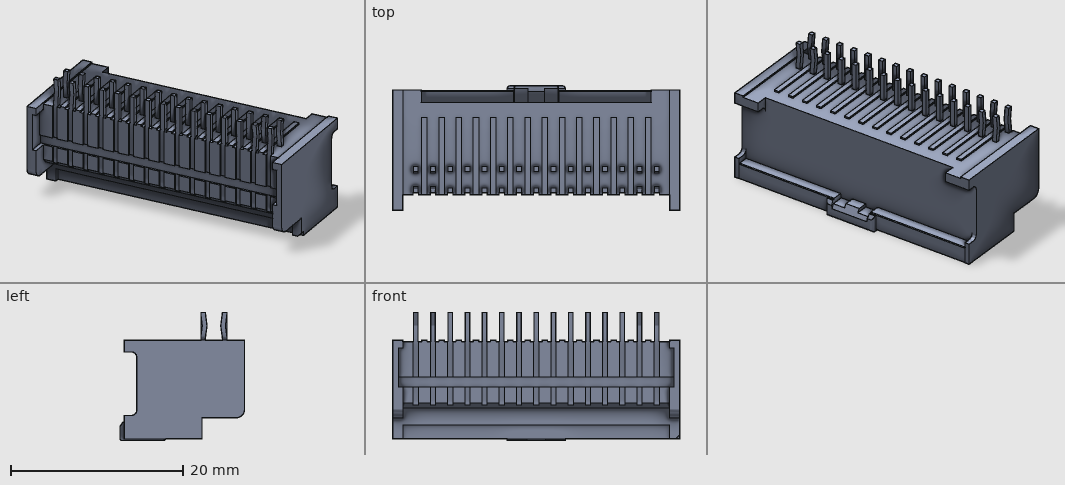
import cadquery as cq


TOTAL_LENGTH = 33.4
FLANGE_THICKNESS = 1.2
FLANGE_DEPTH = 14.0
FLANGE_HEIGHT = 11.5
FLANGE_CORNER_RADIUS = 1.0
FOOT_FRONT_Y = 4.95
FOOT_HEIGHT = 2.45

PIN_COUNT = 15
PITCH = 2.0
PIN_WIDTH = 0.55
PIN_TOP_Z = 14.7
PIN_ROOT_Z = 9.0
ROW_SPACING = 2.5

BODY_TOP_Z = 11.3
BODY_FRONT_Y = 1.8
BODY_FRONT_BOTTOM_Z = 3.6
FRONT_CHAMFER = 0.57
UNDERCUT_DEPTH = 0.55
UNDERCUT_HEIGHT = 1.6

BACK_RECESS_DEPTH = 1.45
BACK_RECESS_BOTTOM_Z = 2.75
BACK_RECESS_TOP_Z = 10.1
BACK_RECESS_RADIUS = 0.6
LIP_GAP_LENGTH = 26.7
SHELF_LENGTH = 32.2
SHELF_TOP_Z = 2.05
SHELF_SETBACK = 0.05
SHELF_CHAMFER = 0.1

GROOVE_WIDTH = 0.6
GROOVE_DEPTH = 0.25
CROSS_GROOVE_DEPTH = 0.28
CROSS_GROOVE_BOTTOM_Z = 6.05
CROSS_GROOVE_TOP_Z = 7.2
CROSS_GROOVE_LENGTH = 32.0
FLANGE_POCKET_TOP_Z = 10.6

RIB_WIDTH = 0.65
RIB_BACK_Y = 10.8

BENT_PINS_PER_END = 2
BEND_OFFSET = 0.19
BEND_START_Z = 11.7
BEND_KNEE_Z = 13.15

LUG_WIDTH = 6.8
LUG_OVERHANG = 0.5
LUG_DROP = 0.1
LUG_SLOPE_HEIGHT = 0.5
LUG_SLOPE_DEPTH = 0.35
LUG_CORNER = 0.4
LUG_PAD_THICKNESS = 0.2
LUG_FRONT_Y = 9.15
LUG_RAMP_LENGTH = 0.2
LUG_NOTCH_WIDTH = 2.1
TROUGH_FLOOR_Z = 1.5
TROUGH_FLOOR_WIDTH = 4.9
TROUGH_TOP_WIDTH = 5.25
RIDGE_WIDTH = 1.9
RIDGE_BACK_Y = 13.85

CORNER_MARK = 0.5

HALF_LENGTH = TOTAL_LENGTH / 2
BODY_LENGTH = TOTAL_LENGTH - 2 * FLANGE_THICKNESS
BACK_WALL_Y = FLANGE_DEPTH - BACK_RECESS_DEPTH
GROOVE_FLOOR_Y = BODY_FRONT_Y + GROOVE_DEPTH
FRONT_ROW_Y = GROOVE_FLOOR_Y + PIN_WIDTH / 2
REAR_ROW_Y = FRONT_ROW_Y + ROW_SPACING
LUG_BACK_Y = FLANGE_DEPTH + LUG_OVERHANG
LUG_TOP_Z = SHELF_TOP_Z - LUG_DROP
LUG_SLOPE_Y = LUG_BACK_Y - LUG_SLOPE_DEPTH
TROUGH_SLOPE_BOTTOM_Z = TROUGH_FLOOR_Z - LUG_SLOPE_HEIGHT
PIN_XS = [(i - (PIN_COUNT - 1) / 2) * PITCH for i in range(PIN_COUNT)]


def box(x_range, y_range, z_range):
    """Axis-aligned block between the given limits."""
    size = [r[1] - r[0] for r in (x_range, y_range, z_range)]
    corner = (x_range[0], y_range[0], z_range[0])
    return cq.Workplane("XY").box(*size, centered=False).translate(corner)


def centred_box(width, y_range, z_range):
    """Block centred on X = 0."""
    return box((-width / 2, width / 2), y_range, z_range)


def side_prism(points, width, centre_x=0):
    """Closed (Y, Z) outline extruded along X, centred on centre_x."""
    outline = cq.Workplane("YZ").polyline(points).close()
    return outline.extrude(width / 2, both=True).translate((centre_x, 0, 0))


def make_flange_block():
    """Full-length block with the side outline of the end flanges."""
    block = side_prism(
        [
            (0, FOOT_HEIGHT),
            (FOOT_FRONT_Y, FOOT_HEIGHT),
            (FOOT_FRONT_Y, 0),
            (FLANGE_DEPTH, 0),
            (FLANGE_DEPTH, FLANGE_HEIGHT),
            (0, FLANGE_HEIGHT),
        ],
        TOTAL_LENGTH,
    )
    front_corner = cq.selectors.NearestToPointSelector((0, 0, FOOT_HEIGHT))
    block = block.edges(front_corner).fillet(FLANGE_CORNER_RADIUS)
    recess = centred_box(
        TOTAL_LENGTH,
        (BACK_WALL_Y, FLANGE_DEPTH + BACK_RECESS_DEPTH),
        (BACK_RECESS_BOTTOM_Z, BACK_RECESS_TOP_Z),
    )
    recess = recess.edges("|X and <Y").fillet(BACK_RECESS_RADIUS)
    return block.cut(recess)


def make_front_relief():
    """Material removed between the flanges in front of and under the body."""
    undercut_y = FOOT_FRONT_Y + UNDERCUT_DEPTH
    chamfer_y = BODY_FRONT_Y + FRONT_CHAMFER
    chamfer_z = BODY_FRONT_BOTTOM_Z + FRONT_CHAMFER
    return side_prism(
        [
            (0, 0),
            (undercut_y, 0),
            (undercut_y, UNDERCUT_HEIGHT),
            (FOOT_FRONT_Y, UNDERCUT_HEIGHT),
            (FOOT_FRONT_Y, BODY_FRONT_BOTTOM_Z),
            (chamfer_y, BODY_FRONT_BOTTOM_Z),
            (BODY_FRONT_Y, chamfer_z),
            (BODY_FRONT_Y, FLANGE_HEIGHT),
            (0, FLANGE_HEIGHT),
        ],
        BODY_LENGTH,
    )


def make_housing():
    """Housing with lowered top, open back edge and front relief."""
    housing = make_flange_block().cut(make_front_relief())
    top_relief = centred_box(BODY_LENGTH, (0, FLANGE_DEPTH), (BODY_TOP_Z, FLANGE_HEIGHT))
    lip_gap = centred_box(
        LIP_GAP_LENGTH,
        (BACK_WALL_Y, FLANGE_DEPTH),
        (SHELF_TOP_Z, FLANGE_HEIGHT),
    )
    shelf_relief = centred_box(
        SHELF_LENGTH,
        (BACK_WALL_Y, FLANGE_DEPTH),
        (SHELF_TOP_Z, BACK_RECESS_BOTTOM_Z + BACK_RECESS_RADIUS),
    )
    shelf_back_y = FLANGE_DEPTH - SHELF_SETBACK
    shelf_trim = side_prism(
        [
            (shelf_back_y, 0),
            (FLANGE_DEPTH, 0),
            (FLANGE_DEPTH, SHELF_TOP_Z),
            (shelf_back_y - SHELF_CHAMFER, SHELF_TOP_Z),
            (shelf_back_y, SHELF_TOP_Z - SHELF_CHAMFER),
        ],
        SHELF_LENGTH,
    )
    return housing.cut(top_relief).cut(lip_gap).cut(shelf_relief).cut(shelf_trim)


def cut_front_grooves(housing):
    """Pin grooves, the cross groove and the pockets inside the flanges."""
    groove_y = (BODY_FRONT_Y, GROOVE_FLOOR_Y)
    for x in PIN_XS:
        x_range = (x - GROOVE_WIDTH / 2, x + GROOVE_WIDTH / 2)
        housing = housing.cut(box(x_range, groove_y, (FOOT_HEIGHT, BODY_TOP_Z)))
    cross_groove = centred_box(
        CROSS_GROOVE_LENGTH,
        (0, BODY_FRONT_Y + CROSS_GROOVE_DEPTH),
        (CROSS_GROOVE_BOTTOM_Z, CROSS_GROOVE_TOP_Z),
    )
    flange_pockets = centred_box(
        CROSS_GROOVE_LENGTH,
        (0, BODY_FRONT_Y),
        (CROSS_GROOVE_BOTTOM_Z, FLANGE_POCKET_TOP_Z),
    )
    return housing.cut(cross_groove).cut(flange_pockets)


def add_top_ribs(housing):
    """Low ribs on the top face, one between each pair of neighbouring pins."""
    for left_pin_x in PIN_XS[:-1]:
        x = left_pin_x + PITCH / 2
        x_range = (x - RIB_WIDTH / 2, x + RIB_WIDTH / 2)
        rib = box(x_range, (BODY_FRONT_Y, RIB_BACK_Y), (PIN_ROOT_Z, FLANGE_HEIGHT))
        housing = housing.union(rib)
    return housing


def make_pin(x, y, knee_offset):
    """Square pin whose upper part kinks along Y by knee_offset."""
    front = y - PIN_WIDTH / 2
    back = y + PIN_WIDTH / 2
    points = [
        (front, PIN_ROOT_Z),
        (back, PIN_ROOT_Z),
        (back, BEND_START_Z),
        (back + knee_offset, BEND_KNEE_Z),
        (back, PIN_TOP_Z),
        (front, PIN_TOP_Z),
        (front + knee_offset, BEND_KNEE_Z),
        (front, BEND_START_Z),
    ]
    return side_prism(points, PIN_WIDTH, x)


def add_pins(housing):
    """Two rows of pins; the outer pins of both rows kink towards each other."""
    for index, x in enumerate(PIN_XS):
        from_end = min(index, PIN_COUNT - 1 - index)
        offset = BEND_OFFSET if from_end < BENT_PINS_PER_END else 0
        housing = housing.union(make_pin(x, FRONT_ROW_Y, offset))
        housing = housing.union(make_pin(x, REAR_ROW_Y, -offset))
    return housing


def make_lug():
    """Keying lug wrapping the bottom back edge, with sloped top and rounded corners."""
    ramp_y = LUG_FRONT_Y + LUG_RAMP_LENGTH
    lug = side_prism(
        [
            (LUG_FRONT_Y, 0),
            (ramp_y, -LUG_PAD_THICKNESS),
            (LUG_BACK_Y - LUG_PAD_THICKNESS, -LUG_PAD_THICKNESS),
            (LUG_BACK_Y, 0),
            (LUG_BACK_Y, LUG_TOP_Z - LUG_SLOPE_HEIGHT),
            (LUG_SLOPE_Y, LUG_TOP_Z),
            (LUG_FRONT_Y, LUG_TOP_Z),
        ],
        LUG_WIDTH,
    )
    lug_half = LUG_WIDTH / 2
    plan = (
        cq.Workplane("XY", origin=(0, 0, -LUG_PAD_THICKNESS))
        .moveTo(-lug_half, LUG_FRONT_Y)
        .lineTo(lug_half, LUG_FRONT_Y)
        .lineTo(lug_half, LUG_BACK_Y - LUG_CORNER)
        .radiusArc((lug_half - LUG_CORNER, LUG_BACK_Y), -LUG_CORNER)
        .lineTo(LUG_CORNER - lug_half, LUG_BACK_Y)
        .radiusArc((-lug_half, LUG_BACK_Y - LUG_CORNER), -LUG_CORNER)
        .close()
        .extrude(LUG_TOP_Z + LUG_PAD_THICKNESS)
    )
    ramp_notch = centred_box(LUG_NOTCH_WIDTH, (LUG_FRONT_Y, ramp_y), (-LUG_PAD_THICKNESS, 0))
    return lug.intersect(plan).cut(ramp_notch)


def make_trough():
    """Cutter for the trough in the shelf and lug: tapered sides, sloped back end."""
    section = (
        cq.Workplane("XZ", origin=(0, BACK_WALL_Y, 0))
        .polyline(
            [
                (-TROUGH_FLOOR_WIDTH / 2, TROUGH_SLOPE_BOTTOM_Z),
                (TROUGH_FLOOR_WIDTH / 2, TROUGH_SLOPE_BOTTOM_Z),
                (TROUGH_TOP_WIDTH / 2, SHELF_TOP_Z),
                (-TROUGH_TOP_WIDTH / 2, SHELF_TOP_Z),
            ]
        )
        .close()
        .extrude(BACK_WALL_Y - LUG_BACK_Y)
    )
    profile = side_prism(
        [
            (BACK_WALL_Y, TROUGH_FLOOR_Z),
            (LUG_SLOPE_Y, TROUGH_FLOOR_Z),
            (LUG_BACK_Y, TROUGH_SLOPE_BOTTOM_Z),
            (LUG_BACK_Y, SHELF_TOP_Z),
            (BACK_WALL_Y, SHELF_TOP_Z),
        ],
        TROUGH_TOP_WIDTH,
    )
    return section.intersect(profile)


def make_ridge():
    """Raised middle strip of the trough, continuing the slope of its back end upwards."""
    slope_rate = LUG_SLOPE_HEIGHT / LUG_SLOPE_DEPTH
    ridge_top_z = TROUGH_FLOOR_Z + slope_rate * (LUG_SLOPE_Y - RIDGE_BACK_Y)
    return side_prism(
        [
            (BACK_WALL_Y, TROUGH_SLOPE_BOTTOM_Z),
            (LUG_BACK_Y, TROUGH_SLOPE_BOTTOM_Z),
            (RIDGE_BACK_Y, ridge_top_z),
            (BACK_WALL_Y, ridge_top_z),
        ],
        RIDGE_WIDTH,
    )


def add_lug(housing):
    """Keying lug just below the shelf top, with a trough through both and a ridge in it."""
    return housing.union(make_lug()).cut(make_trough()).union(make_ridge())


def cut_corner_mark(housing):
    """Small bevel on the front bottom corner of the +X flange foot."""
    mark = (
        cq.Workplane("XZ", origin=(0, FOOT_FRONT_Y, 0))
        .polyline([(HALF_LENGTH, 0), (HALF_LENGTH - CORNER_MARK, 0), (HALF_LENGTH, CORNER_MARK)])
        .close()
        .extrude(-CORNER_MARK)
    )
    return housing.cut(mark)


housing = make_housing()
housing = cut_front_grooves(housing)
housing = add_top_ribs(housing)
housing = add_lug(housing)
housing = cut_corner_mark(housing)
result = add_pins(housing)